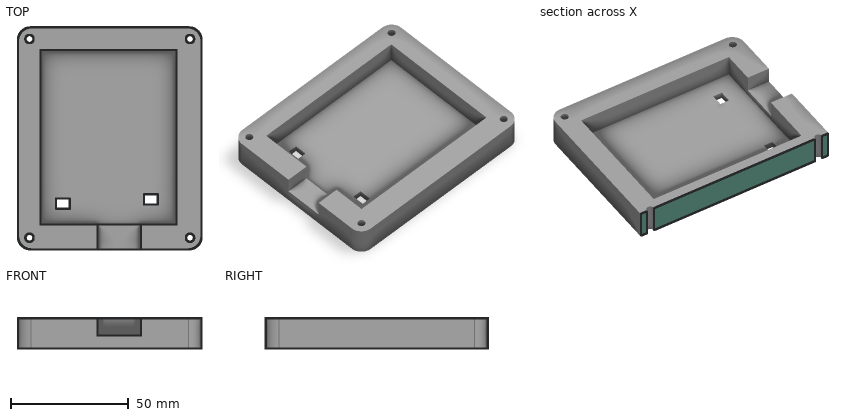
import cadquery as cq

width = 78.0
length = 94.3
height = 13.0
corner_radius = 5.7

hole_diameter = 3.4
hole_spacing_x = 68.1
hole_spacing_y = 84.3

cavity_width = 57.8
cavity_length = 74.05
cavity_depth = 10.0
cavity_center = (-0.6, 0.5)

notch_width = 18.3
notch_depth = 7.45
notch_center_x = 4.1

window_width = 5.7
window_length = 4.2
window_centers = [(-19.9, -27.6), (17.45, -25.8)]


def make_body():
    block = cq.Workplane("XY").box(width, length, height, centered=(True, True, False))
    return block.edges("|Z").fillet(corner_radius)


def cut_screw_holes(body):
    holes = (
        cq.Workplane("XY")
        .rect(hole_spacing_x, hole_spacing_y, forConstruction=True)
        .vertices()
        .circle(hole_diameter / 2)
        .extrude(height)
    )
    return body.cut(holes)


def cut_cavity(body):
    cavity = (
        cq.Workplane("XY", origin=(0, 0, height))
        .center(*cavity_center)
        .rect(cavity_width, cavity_length)
        .extrude(-cavity_depth)
    )
    return body.cut(cavity)


def cut_notch(body):
    front_y = -length / 2
    wall_thickness = cavity_center[1] - cavity_length / 2 - front_y
    notch = (
        cq.Workplane("XY", origin=(0, 0, height))
        .center(notch_center_x, front_y + wall_thickness / 2)
        .rect(notch_width, wall_thickness)
        .extrude(-notch_depth)
    )
    return body.cut(notch)


def cut_windows(body):
    windows = (
        cq.Workplane("XY")
        .pushPoints(window_centers)
        .rect(window_width, window_length)
        .extrude(height)
    )
    return body.cut(windows)


result = make_body()
result = cut_screw_holes(result)
result = cut_cavity(result)
result = cut_notch(result)
result = cut_windows(result)